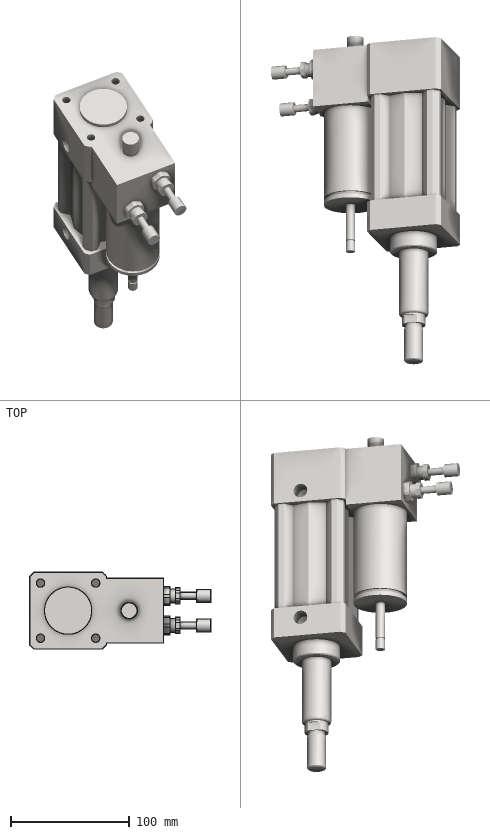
import cadquery as cq
import math


rod_tip_z = 0.0
collar_bottom_z = 96.3
end_head_bottom_z = 109.5
end_head_top_z = 135.5
main_head_bottom_z = 229.5
main_head_top_z = 275.0
cover_top_z = 278.5
knob_top_z = 291.0

head_width = 65.0
head_chamfer = 3.5
arm_bottom_z = 225.0
arm_width = 55.0
arm_end_x = 80.5

collar_diameter = 40.0
collar_chamfer = 1.0

screw_hole_diameter = 7.0
screw_hole_pitch = 46.5
screw_hole_depth = 11.5

port_diameter = 12.0
port_x = -5.8
port_depth = 14.5
port_tip_depth = 3.5
main_port_z = 239.2
end_port_z = 125.5

tube_width = 60.2
tube_corner_chamfer = 4.7
land_inner = 20.7
ridge_width = 28.8
ridge_height = 3.8

motor_x = 55.5
motor_diameter = 45.0
motor_bottom_z = 143.5
motor_groove_diameter = 41.0
motor_groove_bottom_z = 147.0
motor_groove_top_z = 149.5
shaft_diameter = 8.0
shaft_bottom_z = 102.5
shaft_groove_diameter = 6.0
shaft_groove_bottom_z = 111.2
shaft_groove_top_z = 112.3

knob_x = 51.5
knob_diameter = 14.0
knob_bottom_z = 280.2
knob_neck_diameter = 13.0

rod_diameter = 25.0
rod_step_z = 43.5
rod_end_diameter = 24.7
rod_end_fillet = 2.0
rod_shoulder_z = 40.5
wrench_diameter = 20.0
wrench_width = 17.0
wrench_bottom_z = 32.3
wrench_top_z = 39.3
rod_neck_diameter = 14.5
thread_diameter = 16.0
thread_top_z = 28.8
thread_cone_height = 1.5
thread_chamfer = 1.0

fitting_offset = 12.5
fitting_mid_z = 250.0
base_nut_width = 16.0
base_nut_diameter = 17.2
base_nut_end_x = 85.8
base_nut_turn = 30
sleeve_diameter = 12.0
sleeve_end_x = 90.8
lock_nut_width = 13.0
lock_nut_diameter = 14.0
lock_nut_end_x = 94.5
lock_nut_turn = 0
stem_diameter = 6.0
stem_end_x = 108.5
cap_diameter = 11.0
cap_end_x = 120.5


def cylinder_z(diameter, bottom_z, top_z, x=0.0):
    """Upright cylinder between two heights."""
    return cq.Workplane("XY", origin=(x, 0, bottom_z)).circle(diameter / 2).extrude(top_z - bottom_z)


def cylinder_x(diameter, start_x, end_x):
    """Cylinder along the X axis."""
    return cq.Workplane("YZ", origin=(start_x, 0, 0)).circle(diameter / 2).extrude(end_x - start_x)


def ring_z(outer_diameter, inner_diameter, bottom_z, top_z, x):
    """Upright ring, used to cut a groove."""
    return cylinder_z(outer_diameter, bottom_z, top_z, x).cut(
        cylinder_z(inner_diameter, bottom_z, top_z, x)
    )


def square_head(bottom_z, top_z):
    """Square head with chamfered upright edges."""
    return (
        cq.Workplane("XY", origin=(0, 0, bottom_z))
        .rect(head_width, head_width)
        .extrude(top_z - bottom_z)
        .edges("|Z")
        .chamfer(head_chamfer)
    )


def tube():
    """Profiled tube with a recessed ridge on each of its four sides."""
    tube_half_width = tube_width / 2
    ridge_half_width = ridge_width / 2
    floor = tube_half_width - (land_inner - ridge_half_width)
    land_outer = tube_half_width - tube_corner_chamfer
    side = [
        (-land_outer, -tube_half_width),
        (-land_inner, -tube_half_width),
        (-ridge_half_width, -floor),
        (0, -floor - ridge_height),
        (ridge_half_width, -floor),
        (land_inner, -tube_half_width),
        (land_outer, -tube_half_width),
    ]
    points = []
    for quarter in range(4):
        cosine = round(math.cos(quarter * math.pi / 2))
        sine = round(math.sin(quarter * math.pi / 2))
        points += [(x * cosine - y * sine, x * sine + y * cosine) for x, y in side]
    return (
        cq.Workplane("XY", origin=(0, 0, end_head_top_z))
        .polyline(points)
        .close()
        .extrude(main_head_bottom_z - end_head_top_z)
    )


def arm():
    """Block that carries the motor beside the main head."""
    start_x = head_width / 2
    block = cq.Workplane("XY").box(
        arm_end_x - start_x, arm_width, main_head_top_z - arm_bottom_z, centered=(False, True, False)
    )
    return block.translate((start_x, 0, arm_bottom_z))


def motor():
    """Motor barrel and its shaft, both with a groove near the lower end."""
    barrel = cylinder_z(motor_diameter, motor_bottom_z, arm_bottom_z, motor_x).cut(
        ring_z(motor_diameter, motor_groove_diameter, motor_groove_bottom_z, motor_groove_top_z, motor_x)
    )
    shaft = cylinder_z(shaft_diameter, shaft_bottom_z, motor_bottom_z, motor_x).cut(
        ring_z(shaft_diameter, shaft_groove_diameter, shaft_groove_bottom_z, shaft_groove_top_z, motor_x)
    )
    return barrel.union(shaft)


def knob():
    """Round knob on a thinner neck."""
    neck = cylinder_z(knob_neck_diameter, main_head_top_z, knob_bottom_z, knob_x)
    return neck.union(cylinder_z(knob_diameter, knob_bottom_z, knob_top_z, knob_x))


def port(height):
    """Drilled air port with a conical end, entering from the -Y face."""
    radius = port_diameter / 2
    face_y = -head_width / 2
    return (
        cq.Workplane("XY")
        .moveTo(0, face_y)
        .lineTo(radius, face_y)
        .lineTo(radius, face_y + port_depth)
        .lineTo(0, face_y + port_depth + port_tip_depth)
        .close()
        .revolve(360, (0, 0, 0), (0, 1, 0))
        .translate((port_x, 0, height))
    )


def screw_holes():
    """Four blind holes in the top face."""
    return (
        cq.Workplane("XY", origin=(0, 0, main_head_top_z))
        .rect(screw_hole_pitch, screw_hole_pitch, forConstruction=True)
        .vertices()
        .circle(screw_hole_diameter / 2)
        .extrude(-screw_hole_depth)
    )


def make_housing():
    """Cylinder with its heads, arm, motor and knob."""
    collar = cylinder_z(collar_diameter, collar_bottom_z, end_head_bottom_z)
    collar = collar.faces("<Z").chamfer(collar_chamfer)
    return (
        square_head(end_head_bottom_z, end_head_top_z)
        .union(square_head(main_head_bottom_z, main_head_top_z))
        .union(tube())
        .union(collar)
        .union(cylinder_z(collar_diameter, main_head_top_z, cover_top_z))
        .union(arm())
        .union(motor())
        .union(knob())
        .cut(port(main_port_z))
        .cut(port(end_port_z))
        .cut(screw_holes())
    )


def make_piston_rod():
    """Turned rod with wrench flats and a threaded end."""
    rod_radius = rod_diameter / 2
    end_radius = rod_end_diameter / 2
    wrench_radius = wrench_diameter / 2
    neck_radius = rod_neck_diameter / 2
    thread_radius = thread_diameter / 2
    rod = (
        cq.Workplane("XZ")
        .moveTo(0, collar_bottom_z)
        .lineTo(rod_radius, collar_bottom_z)
        .lineTo(rod_radius, rod_step_z)
        .lineTo(end_radius, rod_step_z)
        .lineTo(end_radius, rod_shoulder_z + rod_end_fillet)
        .radiusArc((end_radius - rod_end_fillet, rod_shoulder_z), rod_end_fillet)
        .lineTo(wrench_radius, rod_shoulder_z)
        .lineTo(wrench_radius, wrench_bottom_z)
        .lineTo(neck_radius, wrench_bottom_z)
        .lineTo(neck_radius, thread_top_z + thread_cone_height)
        .lineTo(thread_radius, thread_top_z)
        .lineTo(thread_radius, rod_tip_z + thread_chamfer)
        .lineTo(thread_radius - thread_chamfer, rod_tip_z)
        .lineTo(0, rod_tip_z)
        .close()
        .revolve(360, (0, 0, 0), (0, 1, 0))
    )
    between_flats = (
        cq.Workplane("XY", origin=(0, 0, wrench_bottom_z))
        .rect(rod_diameter, wrench_width)
        .extrude(wrench_top_z - wrench_bottom_z)
    )
    return rod.cut(cylinder_z(rod_diameter, wrench_bottom_z, wrench_top_z).cut(between_flats))


def hex_nut(width, diameter, start_x, end_x, turn):
    """Hexagon nut along X with its corners turned down to a diameter."""
    hexagon = (
        cq.Workplane("YZ", origin=(start_x, 0, 0))
        .polygon(6, width / math.cos(math.pi / 6))
        .extrude(end_x - start_x)
        .rotate((0, 0, 0), (1, 0, 0), turn)
    )
    return hexagon.intersect(cylinder_x(diameter, start_x, end_x))


def make_fitting(y, z):
    """Fitting with a base nut, sleeve, lock nut, stem and end cap."""
    return (
        hex_nut(base_nut_width, base_nut_diameter, arm_end_x, base_nut_end_x, base_nut_turn)
        .union(cylinder_x(sleeve_diameter, base_nut_end_x, sleeve_end_x))
        .union(hex_nut(lock_nut_width, lock_nut_diameter, sleeve_end_x, lock_nut_end_x, lock_nut_turn))
        .union(cylinder_x(stem_diameter, lock_nut_end_x, stem_end_x))
        .union(cylinder_x(cap_diameter, stem_end_x, cap_end_x))
        .translate((0, y, z))
    )


housing = make_housing()
piston_rod = make_piston_rod()
fittings = [
    make_fitting(offset, fitting_mid_z + offset) for offset in (-fitting_offset, fitting_offset)
]

result = cq.Compound.makeCompound(
    [housing.val(), piston_rod.val(), *[fitting.val() for fitting in fittings]]
)